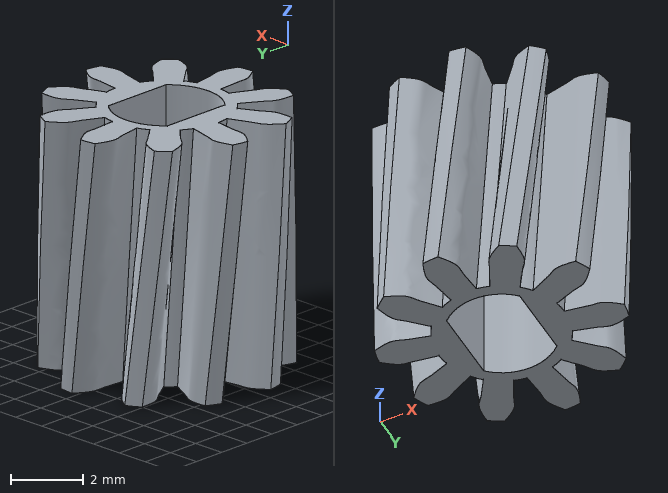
import cadquery as cq
import math

height = 7.6
tooth_count = 10
twist_angle = 13.4

tip_diameter = 7.2
tip_radius = tip_diameter / 2
upper_flank_radius = 3.31
shoulder_radius = 3.0
waist_radius = 2.69
lower_flank_radius = 2.325
root_radius = 1.96

tip_half_angle = 4.0
upper_flank_half_angle = 7.0
shoulder_half_angle = 9.5
waist_half_angle = 9.8
lower_flank_half_angle = 10.9
root_half_angle = 12.4

flank = [
    (root_radius, root_half_angle),
    (lower_flank_radius, lower_flank_half_angle),
    (waist_radius, waist_half_angle),
    (shoulder_radius, shoulder_half_angle),
    (upper_flank_radius, upper_flank_half_angle),
    (tip_radius, tip_half_angle),
]

bore_diameter = 3.22
bore_across_flats = 2.265

pitch_angle = 360 / tooth_count
bottom_angle = 90 - twist_angle / 2


def polar(radius, angle):
    """Point at a radius and an angle in degrees counter-clockwise from +X."""
    return (radius * math.cos(math.radians(angle)), radius * math.sin(math.radians(angle)))


def add_tooth(outline, centre):
    """Continue the outline counter-clockwise over one tooth and its following root."""
    rising_flank = [polar(radius, centre - half_angle) for radius, half_angle in flank]
    falling_flank = [polar(radius, centre + half_angle) for radius, half_angle in reversed(flank)]
    next_root = polar(root_radius, centre + pitch_angle - root_half_angle)
    return (
        outline.spline(rising_flank[1:], includeCurrent=True)
        .threePointArc(polar(tip_radius, centre), falling_flank[0])
        .spline(falling_flank[1:], includeCurrent=True)
        .threePointArc(polar(root_radius, centre + pitch_angle / 2), next_root)
    )


def make_toothed_body():
    """Toothed section swept up the axis while it turns."""
    outline = cq.Workplane("XY").moveTo(*polar(root_radius, bottom_angle - root_half_angle))
    for index in range(tooth_count):
        outline = add_tooth(outline, bottom_angle + index * pitch_angle)
    return outline.close().twistExtrude(height, twist_angle)


def make_bore():
    """Straight through bore: a cylinder trimmed by two flats."""
    cylinder = cq.Workplane("XY").circle(bore_diameter / 2).extrude(height)
    flats = cq.Workplane("XY").rect(bore_across_flats, bore_diameter).extrude(height)
    return cylinder.intersect(flats)


result = make_toothed_body().cut(make_bore())